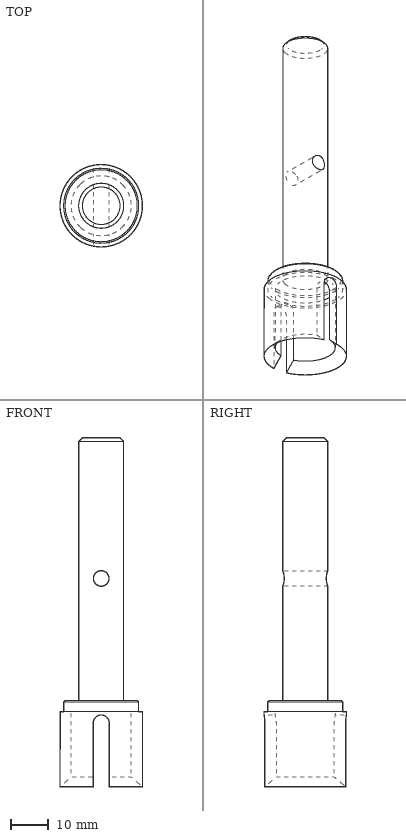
import cadquery as cq

overall_height = 93.0

cup_diameter = 22.0
cup_height = 20.0
bore_diameter = 16.0
bore_depth = cup_height
mouth_cone_height = 2.6

collar_diameter = 20.0
collar_height = 3.0
collar_chamfer = 0.4

shaft_diameter = 12.0
shaft_chamfer = 1.0

slot_width = 4.2
slot_arc_center_z = 17.0

cross_hole_diameter = 4.1
cross_hole_z = 55.5

collar_top = cup_height + collar_height
shaft_length = overall_height - collar_top


def cylinder(diameter, length, base_z):
    """Upright cylinder standing on the plane Z = base_z."""
    return cq.Workplane("XY", origin=(0, 0, base_z)).circle(diameter / 2).extrude(length)


def make_body():
    """Cup blank, chamfered collar and chamfered shaft stacked on one axis."""
    cup = cylinder(cup_diameter, cup_height, 0)
    collar = cylinder(collar_diameter, collar_height, cup_height).faces(">Z").chamfer(collar_chamfer)
    shaft = cylinder(shaft_diameter, shaft_length, collar_top).faces(">Z").chamfer(shaft_chamfer)
    return cup.union(collar).union(shaft)


def make_bore():
    """Blind bore whose conical mouth runs out to a sharp edge at the cup rim."""
    bore_radius = bore_diameter / 2
    return (
        cq.Workplane("XZ")
        .lineTo(cup_diameter / 2, 0)
        .lineTo(bore_radius, mouth_cone_height)
        .lineTo(bore_radius, bore_depth)
        .lineTo(0, bore_depth)
        .close()
        .revolve(360, (0, 0), (0, 1))
    )


def make_slot():
    """Round-topped slot crossing the cup along Y and open at the bottom."""
    half_width = slot_width / 2
    slot_top = slot_arc_center_z + half_width
    return (
        cq.Workplane("XZ")
        .moveTo(-half_width, 0)
        .lineTo(-half_width, slot_arc_center_z)
        .threePointArc((0, slot_top), (half_width, slot_arc_center_z))
        .lineTo(half_width, 0)
        .close()
        .extrude(cup_diameter, both=True)
    )


def make_cross_hole():
    """Round hole through the shaft along Y."""
    return (
        cq.Workplane("XZ")
        .center(0, cross_hole_z)
        .circle(cross_hole_diameter / 2)
        .extrude(shaft_diameter, both=True)
    )


result = make_body().cut(make_bore()).cut(make_slot()).cut(make_cross_hole())